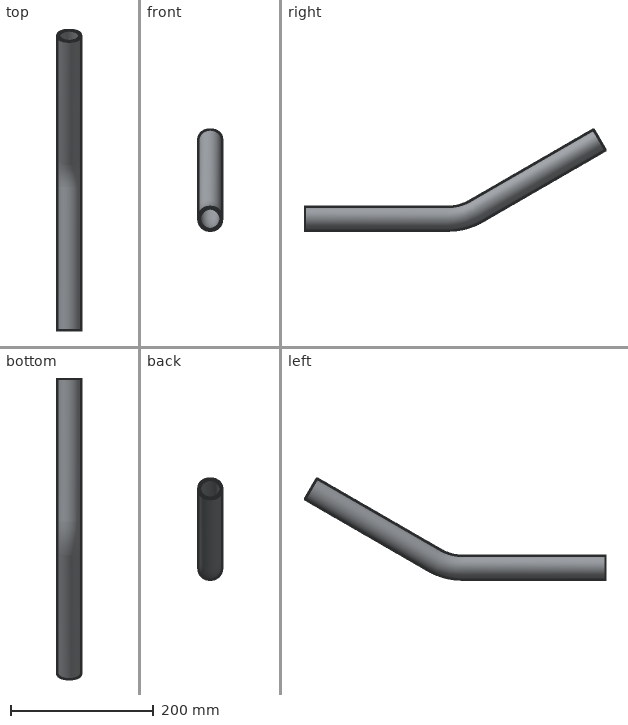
import cadquery as cq
import math

outer_diameter = 33.7
wall_thickness = 2.6
front_length = 200.0
rear_length = 200.0
bend_radius = 78.0
bend_angle = 30.0

outer_radius = outer_diameter / 2
inner_radius = outer_radius - wall_thickness


def point_on_bend(angle):
    """Centreline (Y, Z) point after turning through angle degrees; the bend starts at the origin."""
    turn = math.radians(angle)
    return (bend_radius * math.sin(turn), bend_radius * (1 - math.cos(turn)))


def centreline():
    """Front leg, bend and rear leg as one tangent path in the YZ plane."""
    bend_middle = point_on_bend(bend_angle / 2)
    bend_end = point_on_bend(bend_angle)
    slope = math.radians(bend_angle)
    rear_end = (
        bend_end[0] + rear_length * math.cos(slope),
        bend_end[1] + rear_length * math.sin(slope),
    )
    return (
        cq.Workplane("YZ")
        .moveTo(-front_length, 0)
        .lineTo(0, 0)
        .threePointArc(bend_middle, bend_end)
        .lineTo(*rear_end)
    )


def bent_tube():
    """Ring section at the front end, swept along the centreline."""
    front_end = cq.Workplane("XZ", origin=(0, -front_length, 0))
    return front_end.circle(outer_radius).circle(inner_radius).sweep(centreline())


result = bent_tube()